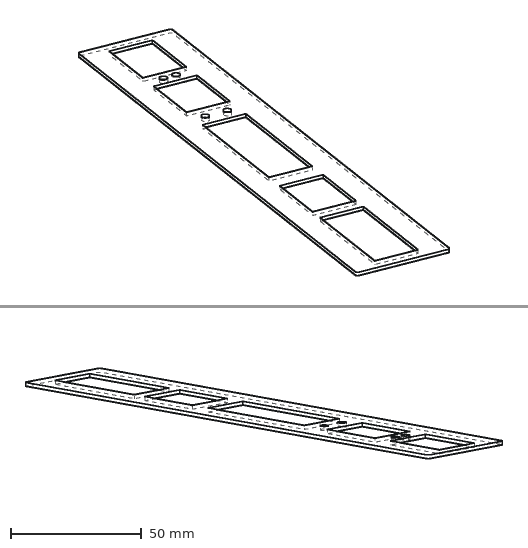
import cadquery as cq

panel_length = 215.9
panel_width = 41.27
panel_thickness = 1.5
corner_radius = 1.0

window_height = 19.05
windows = [
    (4.9, 26.0),
    (39.3, 25.4),
    (77.1, 51.4),
    (136.9, 25.4),
    (168.1, 42.3),
]

hole_diameter = 3.2
hole_pairs = [
    (34.95, 5.6),
    (71.0, 9.7),
]

left_end = -panel_length / 2


def make_panel():
    """Plate with rounded corners."""
    plate = cq.Workplane("XY").rect(panel_length, panel_width).extrude(panel_thickness)
    return plate.edges("|Z").fillet(corner_radius)


def window_cutter(offset, length):
    """Block that cuts one rectangular window through the panel."""
    centre_x = left_end + offset + length / 2
    sketch = cq.Workplane("XY").center(centre_x, 0).rect(length, window_height)
    return sketch.extrude(panel_thickness)


def hole_pair_cutter(offset, spacing):
    """Two cylinders that cut one pair of holes through the panel."""
    centre_x = left_end + offset
    centres = [(centre_x, -spacing / 2), (centre_x, spacing / 2)]
    return cq.Workplane("XY").pushPoints(centres).circle(hole_diameter / 2).extrude(panel_thickness)


result = make_panel()
for window_offset, window_length in windows:
    result = result.cut(window_cutter(window_offset, window_length))
for pair_offset, pair_spacing in hole_pairs:
    result = result.cut(hole_pair_cutter(pair_offset, pair_spacing))